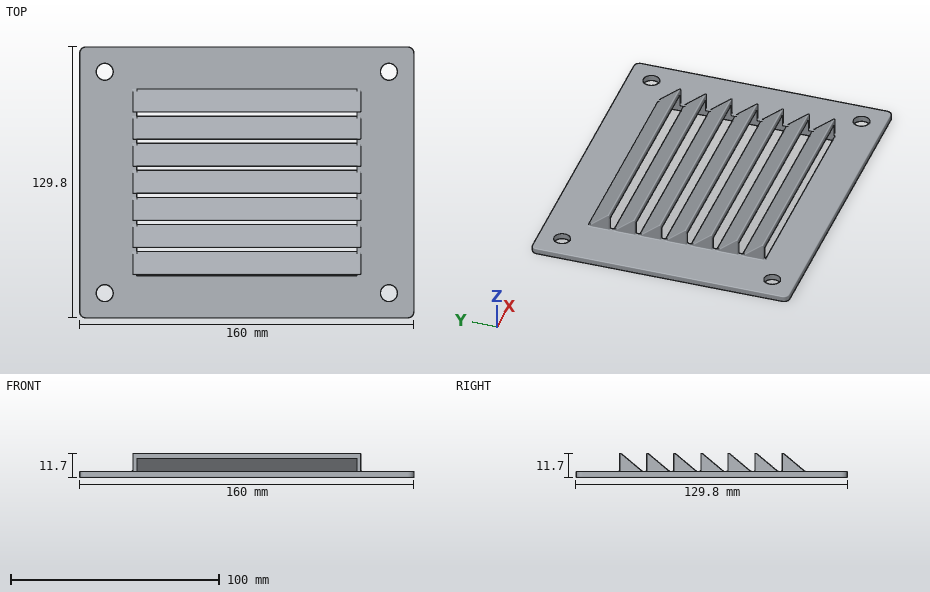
import cadquery as cq
import math

plate_length = 160.0
plate_width = 129.8
plate_thickness = 3.0
corner_radius = 3.0
edge_radius = 0.5

hole_diameter = 8.0
hole_spacing_x = 136.0
hole_spacing_y = 106.0

overall_height = 11.7
hood_count = 7
hood_pitch = 13.0
first_front_y = -44.2
hood_length = 109.1
hood_slope = 40.0
end_wall = 2.0
slat_height = 3.0

half_ridge_angle = math.radians((90 - hood_slope) / 2)
ridge_drop = edge_radius / math.tan(half_ridge_angle) - edge_radius
slope_ratio = math.tan(math.radians(hood_slope))
hood_height = overall_height - plate_thickness + ridge_drop
hood_depth = hood_height / slope_ratio

front_positions = [first_front_y + i * hood_pitch for i in range(hood_count)]

inner_length = hood_length - 2 * end_wall
inner_height = hood_height - slat_height
inner_depth = inner_height / slope_ratio

opening_width = 2 * (edge_radius - first_front_y)


def make_plate():
    return (
        cq.Workplane("XY")
        .box(plate_length, plate_width, plate_thickness, centered=(True, True, False))
        .edges("|Z")
        .fillet(corner_radius)
        .faces("<Z or >Z")
        .edges()
        .fillet(edge_radius)
    )


def make_wedge(length, front_y, height, depth):
    """Right triangle standing on the plate, upright side at front_y, extruded along X."""
    return (
        cq.Workplane("YZ")
        .moveTo(front_y, plate_thickness)
        .lineTo(front_y + depth, plate_thickness)
        .lineTo(front_y, plate_thickness + height)
        .close()
        .extrude(length / 2, both=True)
    )


def make_solid_hood(front_y):
    """Wedge with every edge rounded except those resting on the plate."""
    wedge = make_wedge(hood_length, front_y, hood_height, hood_depth)
    return wedge.edges("not <Z").fillet(edge_radius)


def round_hood_bases(body):
    """Blend the foot of each hood into the top of the plate."""
    half_x = hood_length / 2 + edge_radius
    half_y = opening_width / 2 + edge_radius
    low_z = plate_thickness - edge_radius / 2
    high_z = plate_thickness + edge_radius / 2
    base_region = cq.selectors.BoxSelector((-half_x, -half_y, low_z), (half_x, half_y, high_z))
    return body.edges(base_region).fillet(edge_radius)


def make_opening():
    """Passage through the plate below the whole row of hoods."""
    return cq.Workplane("XY").rect(inner_length, opening_width).extrude(plate_thickness)


def make_hood_space(front_y):
    """Clear space under a slat, with the strip in front that its foot blend fills."""
    space = make_wedge(inner_length, front_y, inner_height, inner_depth)
    front_strip = (
        cq.Workplane("XY", origin=(0, front_y - edge_radius / 2, plate_thickness))
        .rect(inner_length, edge_radius)
        .extrude(edge_radius)
    )
    return space.union(front_strip)


def make_screw_holes():
    return (
        cq.Workplane("XY")
        .rect(hole_spacing_x, hole_spacing_y, forConstruction=True)
        .vertices()
        .circle(hole_diameter / 2)
        .extrude(plate_thickness)
    )


body = make_plate()
for front_y in front_positions:
    body = body.union(make_solid_hood(front_y))
body = round_hood_bases(body)

body = body.cut(make_opening())
for front_y in front_positions:
    body = body.cut(make_hood_space(front_y))

result = body.cut(make_screw_holes())